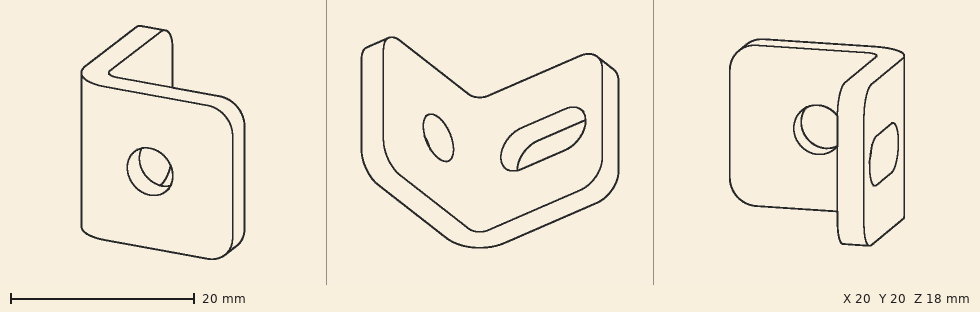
import cadquery as cq

flange_length = 20.0
height = 18.0
thickness = 3.0
inner_bend_radius = 1.5
outer_bend_radius = inner_bend_radius + thickness
corner_radius = 3.0

hole_diameter = 5.5
hole_x = flange_length / 2
slot_width = hole_diameter
slot_length = 11.5
slot_y = 12.0
opening_z = height / 2


def bent_sheet():
    """L-shaped sheet with concentric inner and outer bend radii."""
    outline = (
        cq.Workplane("XY")
        .moveTo(outer_bend_radius, 0)
        .lineTo(flange_length, 0)
        .lineTo(flange_length, thickness)
        .lineTo(outer_bend_radius, thickness)
        .radiusArc((thickness, outer_bend_radius), inner_bend_radius)
        .lineTo(thickness, flange_length)
        .lineTo(0, flange_length)
        .lineTo(0, outer_bend_radius)
        .radiusArc((outer_bend_radius, 0), -outer_bend_radius)
        .close()
    )
    return outline.extrude(height)


def round_free_corners(sheet):
    """Round the two outer corners at the free end of each flange."""
    sheet = sheet.faces(">X").edges("|Y").fillet(corner_radius)
    return sheet.faces(">Y").edges("|X").fillet(corner_radius)


def round_hole():
    """Cutter through the flange along X."""
    return (
        cq.Workplane("XZ")
        .center(hole_x, opening_z)
        .circle(hole_diameter / 2)
        .extrude(-thickness)
    )


def slot():
    """Horizontal slot cutter through the flange along Y."""
    return (
        cq.Workplane("YZ")
        .center(slot_y, opening_z)
        .slot2D(slot_length, slot_width)
        .extrude(thickness)
    )


result = round_free_corners(bent_sheet()).cut(round_hole()).cut(slot())